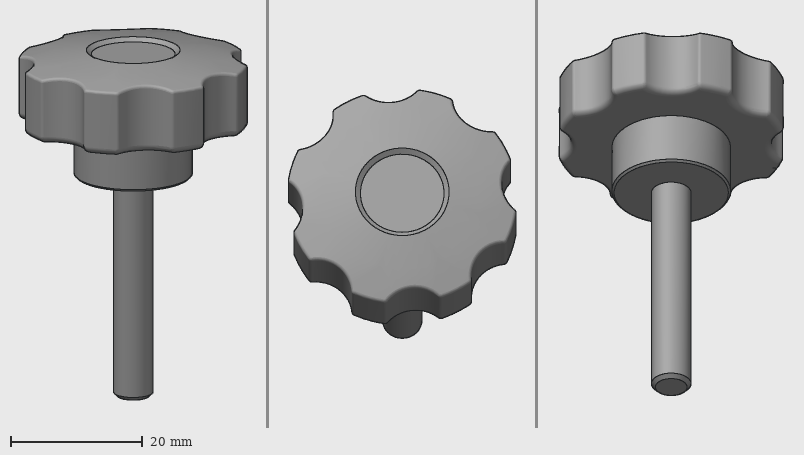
import cadquery as cq
import math

total_height = 54.65
head_bottom = 43.1
hub_bottom = 34.95

stud_diameter = 6.0
stud_chamfer = 0.6
hub_diameter = 18.0
hub_edge_chamfer = 0.35

head_radius = 17.5
scallop_count = 8
scallop_diameter = 11.05
scallop_floor_radius = 15.2
corner_fillet = 0.6
top_edge_fillet = 0.5
bottom_edge_fillet = 1.0

recess_top_radius = 7.1
recess_floor_radius = 6.35
recess_depth = 0.6
recess_clearance = 0.55

dome_drop = 1.7
dome_edge_height = total_height - dome_drop
dome_center_below_rim = (head_radius**2 - recess_top_radius**2 + dome_drop**2) / (2 * dome_drop)
dome_radius = math.hypot(recess_top_radius, dome_center_below_rim)
dome_apex_height = total_height - dome_center_below_rim + dome_radius


def make_head():
    """Domed disc with scallops around its rim and all outer edges rounded."""
    disc = (
        cq.Workplane("XZ")
        .moveTo(0, head_bottom)
        .lineTo(head_radius, head_bottom)
        .lineTo(head_radius, dome_edge_height)
        .radiusArc((0, dome_apex_height), -dome_radius)
        .close()
        .revolve(360, (0, 0, 0), (0, 1, 0))
    )
    scallops = (
        cq.Workplane("XY", origin=(0, 0, head_bottom))
        .polarArray(scallop_floor_radius + scallop_diameter / 2, 0, 360, scallop_count)
        .circle(scallop_diameter / 2)
        .extrude(total_height - head_bottom)
    )
    head = disc.cut(scallops)
    head = head.edges("|Z").fillet(corner_fillet)
    head = head.faces("<Z").edges().fillet(bottom_edge_fillet)
    return head.faces(">Z").edges().fillet(top_edge_fillet)


def make_hub():
    """Plain collar under the head with a broken lower edge."""
    return (
        cq.Workplane("XY", origin=(0, 0, hub_bottom))
        .circle(hub_diameter / 2)
        .extrude(head_bottom - hub_bottom)
        .faces("<Z")
        .chamfer(hub_edge_chamfer)
    )


def make_stud():
    """Round shank with a chamfered tip at the origin."""
    return (
        cq.Workplane("XY")
        .circle(stud_diameter / 2)
        .extrude(hub_bottom)
        .faces("<Z")
        .chamfer(stud_chamfer)
    )


def make_recess():
    """Cone frustum that narrows to the recess floor, extended straight up past the dome."""
    cutter_top = dome_apex_height + recess_clearance
    return (
        cq.Workplane("XZ")
        .moveTo(0, total_height - recess_depth)
        .lineTo(recess_floor_radius, total_height - recess_depth)
        .lineTo(recess_top_radius, total_height)
        .lineTo(recess_top_radius, cutter_top)
        .lineTo(0, cutter_top)
        .close()
        .revolve(360, (0, 0, 0), (0, 1, 0))
    )


result = make_head().union(make_hub()).union(make_stud()).cut(make_recess())